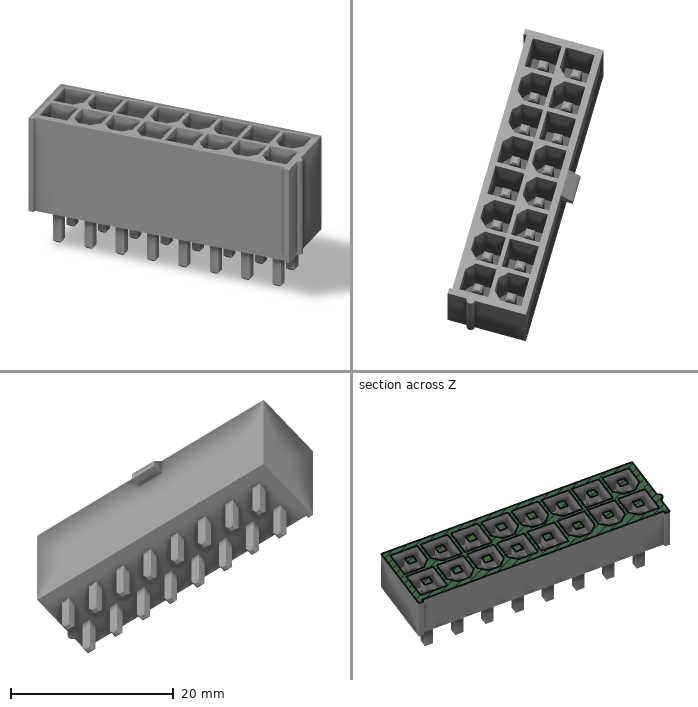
import cadquery as cq

columns = 8
pin_span = 29.4
pitch = pin_span / (columns - 1)
overall_length = 35.4
overall_width = 11.5
overall_height = 17.9

end_rib_height = 0.5
end_rib_radius = 0.53
end_rib_offset = 0.15
end_rib_y = -pitch / 2 - end_rib_offset

body_length = overall_length - end_rib_height
body_height = 12.9
corner_rib_width = 0.7
corner_rib_depth = 0.4
latch_reach = 1.52
body_width = overall_width - latch_reach - corner_rib_depth

latch_length = 3.4
latch_tip_drop = 2.55
latch_root_drop = 2.37

pocket_size = 3.68
pocket_depth = 10.0
pocket_chamfer = 1.03

pin_size = 1.15
pin_tip_chamfer = 0.3
pin_top_recess = 4.25
pin_top = body_height - pin_top_recess
back_pin_shortening = 0.2
front_pin_bottom = body_height - overall_height
back_pin_bottom = front_pin_bottom + back_pin_shortening

front_keys = ["", "LR", "LR", "L", "", "LR", "LR", "L"]
back_keys = ["R", "L", "", "LR", "LR", "L", "", "LR"]

rows = [
    (-pitch / 2, front_pin_bottom, front_keys),
    (pitch / 2, back_pin_bottom, back_keys),
]


def column_x(index):
    return (index - (columns - 1) / 2) * pitch


def make_body():
    return cq.Workplane("XY").box(body_length, body_width, body_height, centered=(True, True, False))


def make_corner_rib(side):
    """Full-height rib on the front face, flush with the left (-1) or right (+1) end."""
    x = side * (body_length - corner_rib_width) / 2
    y = -(body_width + corner_rib_depth) / 2
    return (
        cq.Workplane("XY")
        .center(x, y)
        .box(corner_rib_width, corner_rib_depth, body_height, centered=(True, True, False))
    )


def make_end_rib():
    """Full-height round rib whose axis lies just inside the +X end wall."""
    return (
        cq.Workplane("XY")
        .center(body_length / 2 + end_rib_height - end_rib_radius, end_rib_y)
        .circle(end_rib_radius)
        .extrude(body_height)
    )


def make_latch():
    """Latch on the back face: a 45 degree ramp with a slightly hooked underside."""
    root = body_width / 2
    tip = root + latch_reach
    profile = [
        (root, body_height),
        (tip, body_height - latch_reach),
        (tip, body_height - latch_tip_drop),
        (root, body_height - latch_root_drop),
    ]
    return cq.Workplane("YZ").polyline(profile).close().extrude(latch_length / 2, both=True)


def make_pocket(x, y, keys):
    """Square pocket volume whose keyed front corners are cut off at 45 degrees."""
    pocket = (
        cq.Workplane("XY", origin=(x, y, body_height - pocket_depth))
        .box(pocket_size, pocket_size, pocket_depth, centered=(True, True, False))
    )
    if "L" in keys:
        pocket = pocket.edges("|Z").edges("<X").edges("<Y").chamfer(pocket_chamfer)
    if "R" in keys:
        pocket = pocket.edges("|Z").edges(">X").edges("<Y").chamfer(pocket_chamfer)
    return pocket


def make_pin(x, y, bottom):
    """Square pin with both tips chamfered."""
    return (
        cq.Workplane("XY", origin=(x, y, bottom))
        .box(pin_size, pin_size, pin_top - bottom, centered=(True, True, False))
        .faces("<Z or >Z")
        .chamfer(pin_tip_chamfer)
    )


result = make_body().union(make_corner_rib(-1)).union(make_corner_rib(1))
result = result.union(make_end_rib()).union(make_latch())

for row_y, pin_bottom, row_keys in rows:
    for column, pocket_keys in enumerate(row_keys):
        result = result.cut(make_pocket(column_x(column), row_y, pocket_keys))
        result = result.union(make_pin(column_x(column), row_y, pin_bottom))